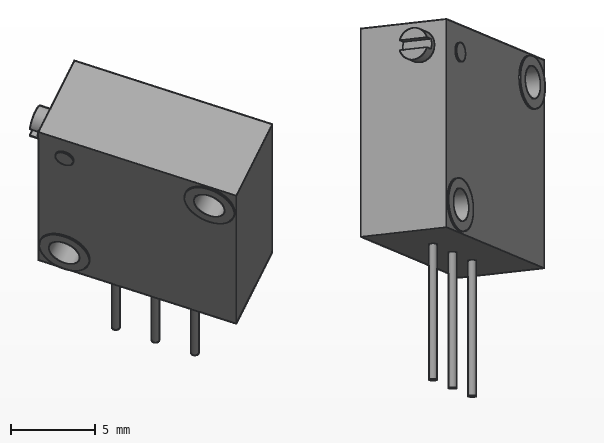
import cadquery as cq

overall_height = 20.95
overall_depth = 5.85

body_side = 12.7
raised_height = 0.1
body_depth = overall_depth - raised_height

corner_inset = 1.7
hole_diameter = 1.97
pad_diameter = 3.2
hole_centres = [
    (corner_inset, corner_inset),
    (body_side - corner_inset, body_side - corner_inset),
]

mark_diameter = 1.15
mark_centre = (corner_inset, body_side - corner_inset)

screw_diameter = 1.93
screw_length = 0.9
screw_y = 1.75
screw_drop = 1.5
screw_z = body_side - screw_drop
slot_width = 0.6
slot_depth = 0.52

pin_diameter = 0.5
pin_pitch = 2.53
pin_length = overall_height - body_side
pin_count = 3


def raised_disc(centre, diameter):
    """Low disc standing out from the front face, centred at (x, z)."""
    x, z = centre
    return cq.Workplane("XZ").center(x, z).circle(diameter / 2).extrude(raised_height)


def through_hole(centre):
    """Cutter for a mounting hole through the pad and the full body depth."""
    x, z = centre
    return (
        cq.Workplane("XZ", origin=(0, body_depth, 0))
        .center(x, z)
        .circle(hole_diameter / 2)
        .extrude(body_depth + raised_height)
    )


def adjusting_screw():
    """Screw head along -X with a slot running along Y across its end."""
    head = (
        cq.Workplane("YZ")
        .center(screw_y, screw_z)
        .circle(screw_diameter / 2)
        .extrude(-screw_length)
    )
    slot = (
        cq.Workplane("XY")
        .box(slot_depth, screw_diameter, slot_width, centered=(False, True, True))
        .translate((-screw_length, screw_y, screw_z))
    )
    return head.cut(slot)


def pin(index):
    """Pin hanging from the underside; the row is centred on the body."""
    x = body_side / 2 + (index - (pin_count - 1) / 2) * pin_pitch
    return (
        cq.Workplane("XY")
        .center(x, body_depth / 2)
        .circle(pin_diameter / 2)
        .extrude(-pin_length)
    )


result = cq.Workplane("XY").box(body_side, body_depth, body_side, centered=False)
result = result.union(raised_disc(mark_centre, mark_diameter))
for hole_centre in hole_centres:
    result = result.union(raised_disc(hole_centre, pad_diameter))
    result = result.cut(through_hole(hole_centre))

result = result.union(adjusting_screw())
for pin_index in range(pin_count):
    result = result.union(pin(pin_index))